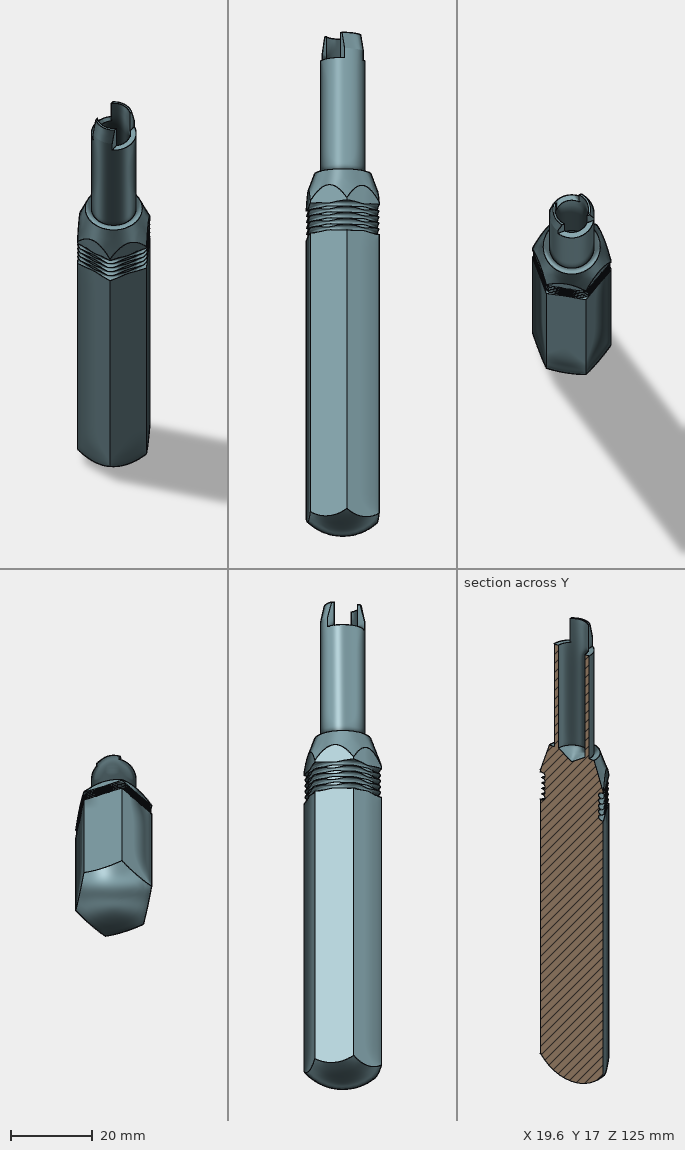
import cadquery as cq
import math

total_length = 125.0
hex_across_flats = 17.0
hex_across_corners = hex_across_flats / math.cos(math.radians(30))
cutter_radius = hex_across_corners

butt_sphere_radius = 12.5

shaft_length = 34.7
handle_length = total_length - shaft_length
collar_front_radius = 7.0
collar_half_angle = 20.0

groove_count = 5
groove_pitch = 1.5
groove_root_radius = 8.4
groove_bottom_radius = 0.68
ridge_tip_radius = 9.45
grooves_start_z = 74.5

shaft_radius = 5.5
bore_radius = 4.1
bore_depth = shaft_length
drill_point_angle = 118.0

prong_width = 5.7
prong_length = 6.5
tip_radius = 4.6
tip_taper_length = 4.2


def make_handle():
    """Hexagonal bar trimmed by a ball-shaped butt and a tapered collar."""
    bar = cq.Workplane("XY").polygon(6, hex_across_corners).extrude(handle_length)

    collar_taper_length = (cutter_radius - collar_front_radius) / math.tan(math.radians(collar_half_angle))
    arc_middle = butt_sphere_radius * math.sin(math.radians(45))
    envelope = (
        cq.Workplane("XZ")
        .moveTo(0, 0)
        .threePointArc((arc_middle, butt_sphere_radius - arc_middle), (butt_sphere_radius, butt_sphere_radius))
        .lineTo(cutter_radius, handle_length - collar_taper_length)
        .lineTo(collar_front_radius, handle_length)
        .lineTo(0, handle_length)
        .close()
        .revolve(360, (0, 0, 0), (0, 1, 0))
    )
    return bar.intersect(envelope)


def make_groove_cutter():
    """Ring with one rounded tooth per grip groove; the grooves taper outward to sharp ridges."""
    arc_end_radius = groove_root_radius + groove_bottom_radius
    profile = (
        cq.Workplane("XZ")
        .moveTo(cutter_radius, grooves_start_z)
        .lineTo(ridge_tip_radius, grooves_start_z)
    )
    for index in range(groove_count):
        center_z = grooves_start_z + (index + 0.5) * groove_pitch
        profile = (
            profile.lineTo(arc_end_radius, center_z - groove_bottom_radius)
            .threePointArc((groove_root_radius, center_z), (arc_end_radius, center_z + groove_bottom_radius))
            .lineTo(ridge_tip_radius, center_z + groove_pitch / 2)
        )
    grooves_end_z = grooves_start_z + groove_count * groove_pitch
    return profile.lineTo(cutter_radius, grooves_end_z).close().revolve(360, (0, 0, 0), (0, 1, 0))


def make_shaft():
    """Round shaft with a tapered tip, reaching from the handle to the front end."""
    return (
        cq.Workplane("XZ")
        .moveTo(0, handle_length)
        .lineTo(shaft_radius, handle_length)
        .lineTo(shaft_radius, total_length - tip_taper_length)
        .lineTo(tip_radius, total_length)
        .lineTo(0, total_length)
        .close()
        .revolve(360, (0, 0, 0), (0, 1, 0))
    )


def make_bore():
    """Drilled bore with a conical bottom."""
    shoulder_z = total_length - bore_depth
    point_depth = bore_radius / math.tan(math.radians(drill_point_angle / 2))
    return (
        cq.Workplane("XZ")
        .moveTo(0, shoulder_z - point_depth)
        .lineTo(bore_radius, shoulder_z)
        .lineTo(bore_radius, total_length)
        .lineTo(0, total_length)
        .close()
        .revolve(360, (0, 0, 0), (0, 1, 0))
    )


def make_prong_cutter(side):
    """Block that removes the shaft wall beside the prongs, on the +X or -X side."""
    center_x = side * (prong_width / 2 + shaft_radius / 2)
    return (
        cq.Workplane("XY")
        .workplane(offset=total_length - prong_length)
        .center(center_x, 0)
        .rect(shaft_radius, 2 * shaft_radius)
        .extrude(prong_length)
    )


handle = make_handle().cut(make_groove_cutter())
result = handle.union(make_shaft()).cut(make_bore())
for side in (-1, 1):
    result = result.cut(make_prong_cutter(side))